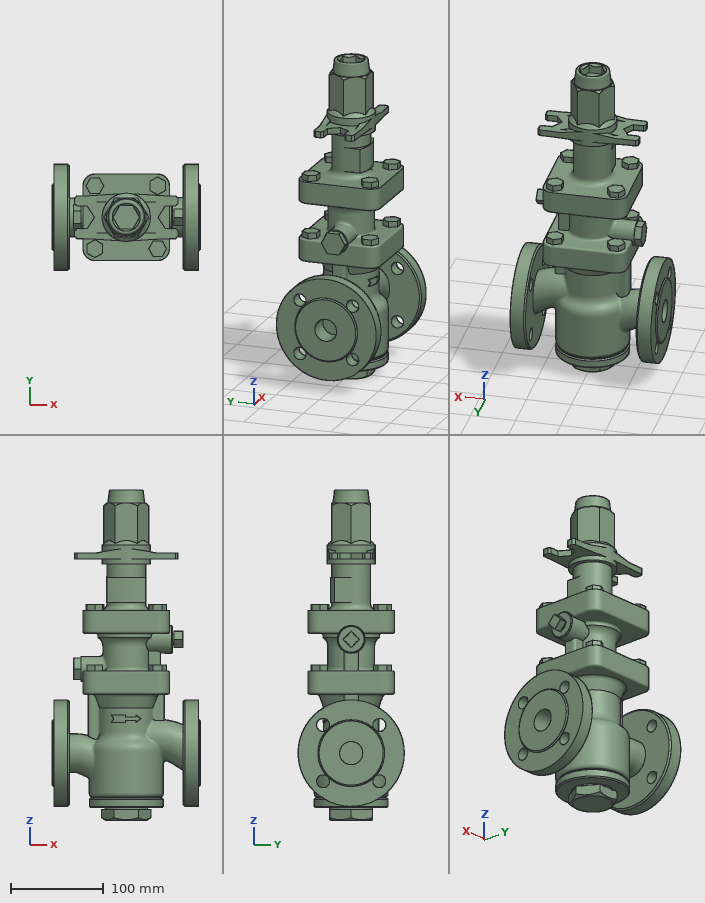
import cadquery as cq
import math


TOTAL_HEIGHT = 357.0
TOTAL_LENGTH = 160.0

PIPE_AXIS_Z = 73.0
FLANGE_DIAMETER = 115.0
FLANGE_THICKNESS = 16.8
FLANGE_CHAMFER = 1.8
RAISED_FACE_DIAMETER = 72.0
RAISED_FACE_HEIGHT = 1.8
RAISED_FACE_BEVEL = 1.5
BOLT_HOLE_DIAMETER = 14.0
BOLT_HOLE_SPACING = 60.7
BORE_DIAMETER = 25.0
BORE_DEPTH = 25.0

PLUG_HEX_FLATS = 46.5
PLUG_HEX_TOP = 12.0
PLUG_CHAMFER_HEIGHT = 3.2
PLUG_CHAMFER_DEPTH = 5.0
BODY_DIAMETER = 80.0
BODY_NECK_DIAMETER = 60.0
CAP_RIM_BOTTOM = 14.0
CAP_RIM_TOP = 24.3
CAP_RIM_CHAMFER = 1.5
SEAL_DIAMETER = 75.7
SEAL_TOP = 25.5
BODY_SHOULDER_Z = 75.5
BODY_NECK_Z = 94.5
BODY_FLARE_BOTTOM = 121.7
BODY_FLARE_RADIUS = 34.0
BODY_FLARE_TOP = 133.0
BODY_TOP_RADIUS = 37.0
RIB_ROOT_FILLET = 3.5

PLATE_WIDTH = 93.5
PLATE_CORNER_RADIUS = 13.0
PLATE_EDGE_FILLET = 2.0
LOWER_JOINT_BOTTOM = 136.5
LOWER_SEAM_Z = 149.0
LOWER_JOINT_TOP = 161.7
UPPER_JOINT_BOTTOM = 202.0
UPPER_SEAM_Z = 215.0
UPPER_JOINT_TOP = 227.0
BOLT_SPACING = 68.0
BOLT_HEAD_FLATS = 16.8
BOLT_HEAD_HEIGHT = 6.5

HOUSING_DIAMETER = 50.7
HOUSING_BASE_FILLET = 3.2
HOUSING_HEAD_RADIUS = 30.7
HOUSING_HEAD_Z = 197.8
HOUSING_SHOULDER_Z = 188.0
HOUSING_HEAD_COVE = 1.8

LEFT_BOSS_DIAMETER = 27.0
LEFT_BOSS_Z = 164.0
LEFT_BOSS_END = 49.0
LEFT_PLUG_END = 56.8
LEFT_PLUG_FLATS = 23.5
LEFT_BOSS_FILLET = 3.2
RIGHT_BOSS_DIAMETER = 30.0
RIGHT_BOSS_Z = 195.5
RIGHT_BOSS_END = 50.0
RIGHT_BOSS_CHAMFER = 1.0
RIGHT_PLUG_START = 51.5
RIGHT_PLUG_END = 61.0
RIGHT_PLUG_DIAGONAL = 18.0
RIGHT_PLUG_NECK_DIAMETER = 12.0
BOSS_WEB_REACH = 37.0

RIB_REACH = 41.0
RIB_WIDTH = 15.7
RIB_FILLET = 3.5
RIB_BOTTOM = 78.5

STEM_DIAMETER = 42.0
STEM_BASE_FILLET = 6.8
PAD_BOTTOM = 235.3
PAD_TOP = 262.5
PAD_SIDE_Y = 18.0
PAD_FRONT_Y = 22.5
COLLAR_DIAMETER = 52.0
COLLAR_BOTTOM = 277.0
COLLAR_TOP = 297.5
CAP_HEX_FLATS = 42.0
CAP_HEX_TOP = 342.7
CAP_HEX_CHAMFER = 3.0
CAP_TIP_BASE_RADIUS = 20.0
CAP_TIP_RADIUS = 18.2
CAP_TIP_ROUND = 1.5
SOCKET_FLATS = 25.0
SOCKET_RIM_DIAMETER = 30.0
SOCKET_DEPTH = 10.7

HANDLE_LENGTH = 111.5
HANDLE_BOTTOM = 282.5
HANDLE_TOP = 289.0
HANDLE_TIP_Y = 23.2
HANDLE_ROOT_Y = 25.5
HANDLE_STRAIGHT_X = 41.0
HANDLE_FORK_Y = 12.0
HANDLE_FORK_ROOT_X = 42.0
HANDLE_FORK_APEX_X = 34.3
HANDLE_TIP_CHAMFER = 2.5
GRIP_BAR_TOP = 293.5
GRIP_BAR_INNER_Y = 16.8
GRIP_BAR_START_X = 6.8
GRIP_BAR_END_X = 31.8

ARROW_Z = 110.0
ARROW_HEIGHT = 0.7
ARROW_HALF_WIDTH = 4.0
ARROW_SHAFT_HALF_WIDTH = 1.8
ARROW_TAIL_X = -16.0
ARROW_NOTCH_X = -13.5
ARROW_TAIL_END_X = -1.0
ARROW_HEAD_X = 10.5
ARROW_POINT_X = 15.7

LEFT_PIPE_DIAMETER = 42.0
LEFT_BEND_START_X = -55.5
LEFT_BEND_RADIUS = 32.0
LEFT_BEND_ANGLE = math.radians(25)
RIGHT_PIPE_DIAMETER = 43.0
RIGHT_PIPE_START_X = 10.7
RIGHT_PIPE_START_Z = 88.2
RIGHT_BEND_START_X = 32.0
RIGHT_BEND_RADIUS = 53.5
RIGHT_BEND_ANGLE = math.radians(32)
PIPE_TAIL = 21.5
PIPE_ROOT_FILLET = 3.5

FLANGE_FACE_X = TOTAL_LENGTH / 2 - RAISED_FACE_HEIGHT
FLANGE_BACK_X = FLANGE_FACE_X - FLANGE_THICKNESS
BODY_RADIUS = BODY_DIAMETER / 2
NECK_RADIUS = BODY_NECK_DIAMETER / 2
STEM_RADIUS = STEM_DIAMETER / 2


def disc(diameter, bottom, top):
    return cq.Workplane("XY").workplane(offset=bottom).circle(diameter / 2).extrude(top - bottom)


def corner_diameter(flats):
    return flats / math.cos(math.pi / 6)


def hex_prism(flats, bottom, top):
    """Upright hexagon with two corners on the X axis."""
    plane = cq.Workplane("XY").workplane(offset=bottom)
    return plane.polygon(6, corner_diameter(flats)).extrude(top - bottom)


def x_bar(section, start, end, axis_z):
    """Extrude a section along X; `section` draws on the given workplane (local x = Y)."""
    plane = cq.Workplane("YZ", origin=(start, 0, axis_z))
    return section(plane).extrude(end - start)


def x_rod(diameter, start, end, axis_z):
    return x_bar(lambda plane: plane.circle(diameter / 2), start, end, axis_z)


def spin(profile):
    """Revolve a closed (radius, z) profile about the stem axis."""
    return profile.close().revolve(360, (0, 0, 0), (0, 1, 0))


def flared_column(radius, bottom, top, fillet):
    """Cylinder whose foot flares out with a concave fillet."""
    inset = fillet * (1 - math.sqrt(0.5))
    middle = (radius + inset, bottom + inset)
    profile = (
        cq.Workplane("XZ")
        .moveTo(0, bottom)
        .lineTo(radius + fillet, bottom)
        .threePointArc(middle, (radius, bottom + fillet))
        .lineTo(radius, top)
        .lineTo(0, top)
    )
    return spin(profile)


def make_bottom_plug():
    envelope = disc(corner_diameter(PLUG_HEX_FLATS), 0, PLUG_HEX_TOP)
    envelope = envelope.faces("<Z").chamfer(PLUG_CHAMFER_HEIGHT, PLUG_CHAMFER_DEPTH)
    plug = hex_prism(PLUG_HEX_FLATS, 0, PLUG_HEX_TOP).intersect(envelope)
    neck = disc(PLUG_HEX_FLATS, PLUG_HEX_TOP, CAP_RIM_BOTTOM)
    rim = disc(BODY_DIAMETER, CAP_RIM_BOTTOM, CAP_RIM_TOP).faces("<Z or >Z").chamfer(CAP_RIM_CHAMFER)
    seal = disc(SEAL_DIAMETER, CAP_RIM_BOTTOM, SEAL_TOP)
    return plug.union(neck).union(rim).union(seal)


def make_body_shell():
    step = BODY_RADIUS - NECK_RADIUS
    rise = BODY_NECK_Z - BODY_SHOULDER_Z
    edge = (BODY_DIAMETER - SEAL_DIAMETER) / 2
    shoulder_middle = (BODY_RADIUS - step / 2, BODY_SHOULDER_Z + rise / 2)
    profile = (
        cq.Workplane("XZ")
        .moveTo(0, SEAL_TOP)
        .lineTo(SEAL_DIAMETER / 2, SEAL_TOP)
        .lineTo(BODY_RADIUS, SEAL_TOP + edge)
        .lineTo(BODY_RADIUS, BODY_SHOULDER_Z)
        .tangentArcPoint(shoulder_middle, relative=False)
        .tangentArcPoint((NECK_RADIUS, BODY_NECK_Z), relative=False)
        .lineTo(NECK_RADIUS, BODY_FLARE_BOTTOM)
        .lineTo(BODY_FLARE_RADIUS, BODY_FLARE_TOP)
        .tangentArcPoint((BODY_TOP_RADIUS, LOWER_JOINT_BOTTOM), relative=False)
        .lineTo(0, LOWER_JOINT_BOTTOM)
    )
    return spin(profile)


def make_ribs():
    """Passage ribs on both sides of the neck, with filleted roots along a core inside the body."""
    height = LOWER_JOINT_BOTTOM - RIB_BOTTOM
    ribs = (
        cq.Workplane("XY")
        .workplane(offset=RIB_BOTTOM)
        .rect(2 * RIB_REACH, RIB_WIDTH)
        .extrude(height)
        .edges("|Z")
        .fillet(RIB_FILLET)
    )
    ribs = ribs.union(disc(BODY_NECK_DIAMETER, RIB_BOTTOM, LOWER_JOINT_BOTTOM))
    roots = cq.selectors.BoxSelector(
        (-NECK_RADIUS, -RIB_WIDTH, RIB_BOTTOM), (NECK_RADIUS, RIB_WIDTH, LOWER_JOINT_BOTTOM)
    )
    return ribs.edges("|Z").edges(roots).fillet(RIB_ROOT_FILLET)


def bent_pipe(diameter, start_x, start_z, bend_x, bend_radius, bend_angle):
    """Round bar that runs level toward +X, then bends down and goes on straight for a short tail."""
    def on_bend(angle):
        return (bend_x + bend_radius * math.sin(angle), start_z - bend_radius * (1 - math.cos(angle)))

    end_x, end_z = on_bend(bend_angle)
    path = (
        cq.Workplane("XZ")
        .moveTo(start_x, start_z)
        .lineTo(bend_x, start_z)
        .threePointArc(on_bend(bend_angle / 2), (end_x, end_z))
        .lineTo(end_x + PIPE_TAIL * math.cos(bend_angle), end_z - PIPE_TAIL * math.sin(bend_angle))
    )
    return cq.Workplane("YZ", origin=(start_x, 0, start_z)).circle(diameter / 2).sweep(path)


def make_left_pipe():
    """Inlet neck: leaves the flange level, then bends down into the body."""
    return bent_pipe(
        LEFT_PIPE_DIAMETER, -FLANGE_BACK_X, PIPE_AXIS_Z, LEFT_BEND_START_X, LEFT_BEND_RADIUS, LEFT_BEND_ANGLE
    )


def make_right_pipe():
    """Outlet neck: leaves the body level and high, then bends down to the back of the flange."""
    pipe = bent_pipe(
        RIGHT_PIPE_DIAMETER, RIGHT_PIPE_START_X, RIGHT_PIPE_START_Z,
        RIGHT_BEND_START_X, RIGHT_BEND_RADIUS, RIGHT_BEND_ANGLE,
    )
    return pipe.intersect(x_rod(FLANGE_DIAMETER, 0, FLANGE_BACK_X, PIPE_AXIS_Z))


def make_body():
    """Body shell with both pipe necks, filleted where the necks meet the shell."""
    body = make_body_shell().union(make_left_pipe()).union(make_right_pipe())
    reach_x = BODY_RADIUS + PIPE_ROOT_FILLET
    reach_y = LEFT_PIPE_DIAMETER / 2 + PIPE_ROOT_FILLET
    roots = cq.selectors.BoxSelector((-reach_x, -reach_y, SEAL_TOP), (reach_x, reach_y, BODY_FLARE_BOTTOM))
    return body.edges(roots).fillet(PIPE_ROOT_FILLET)


def make_flange(side):
    back = cq.Workplane("YZ", origin=(side * FLANGE_BACK_X, 0, PIPE_AXIS_Z))
    inner = "<X" if side > 0 else ">X"
    flange = back.circle(FLANGE_DIAMETER / 2).extrude(side * FLANGE_THICKNESS)
    flange = flange.faces(inner).chamfer(FLANGE_CHAMFER)
    holes = back.rect(BOLT_HOLE_SPACING, BOLT_HOLE_SPACING, forConstruction=True).vertices()
    flange = flange.cut(holes.circle(BOLT_HOLE_DIAMETER / 2).extrude(side * FLANGE_THICKNESS))
    face = x_rod(RAISED_FACE_DIAMETER, side * FLANGE_FACE_X, side * TOTAL_LENGTH / 2, PIPE_AXIS_Z)
    face = face.faces(">X" if side > 0 else "<X").chamfer(RAISED_FACE_BEVEL)
    return flange.union(face)


def make_bore(side):
    end = side * TOTAL_LENGTH / 2
    return x_rod(BORE_DIAMETER, end - side * BORE_DEPTH, end, PIPE_AXIS_Z)


def make_plate(bottom, top):
    plane = cq.Workplane("XY").workplane(offset=bottom)
    return plane.rect(PLATE_WIDTH, PLATE_WIDTH).extrude(top - bottom).edges("|Z").fillet(PLATE_CORNER_RADIUS)


def make_joint(bottom, seam, top, round_top):
    """Pair of square plates held by four hexagon bolts; the seam between the plates stays."""
    lower = make_plate(bottom, seam).faces("<Z").edges().fillet(PLATE_EDGE_FILLET)
    upper = make_plate(seam, top)
    if round_top:
        upper = upper.faces(">Z").edges().fillet(PLATE_EDGE_FILLET)
    joint = lower.union(upper, clean=False)
    for x_side in (-1, 1):
        for y_side in (-1, 1):
            turn = 30 if x_side == y_side else 0
            head = hex_prism(BOLT_HEAD_FLATS, top, top + BOLT_HEAD_HEIGHT)
            head = head.rotate((0, 0, 0), (0, 0, 1), turn)
            head = head.translate((x_side * BOLT_SPACING / 2, y_side * BOLT_SPACING / 2, 0))
            joint = joint.union(head, clean=False)
    return joint


def make_housing():
    radius = HOUSING_DIAMETER / 2
    column = flared_column(radius, LOWER_JOINT_TOP, UPPER_JOINT_BOTTOM, HOUSING_BASE_FILLET)
    cove_bottom = UPPER_JOINT_BOTTOM - HOUSING_HEAD_COVE
    cove_edge = HOUSING_HEAD_RADIUS + HOUSING_HEAD_COVE
    head = spin(
        cq.Workplane("XZ")
        .moveTo(0, LOWER_JOINT_TOP)
        .lineTo(radius, LOWER_JOINT_TOP)
        .lineTo(radius, HOUSING_SHOULDER_Z)
        .tangentArcPoint((HOUSING_HEAD_RADIUS, HOUSING_HEAD_Z), relative=False)
        .lineTo(HOUSING_HEAD_RADIUS, cove_bottom)
        .tangentArcPoint((cove_edge, UPPER_JOINT_BOTTOM), relative=False)
        .lineTo(0, UPPER_JOINT_BOTTOM)
    )
    return column.union(head)


def make_left_boss():
    """Boss with a filleted root on the housing wall, closed by a hexagon plug."""
    wall = disc(HOUSING_DIAMETER, LOWER_JOINT_BOTTOM, HOUSING_SHOULDER_Z)
    boss = wall.union(x_rod(LEFT_BOSS_DIAMETER, -LEFT_BOSS_END, 0, LEFT_BOSS_Z))
    low = LOWER_JOINT_BOTTOM + LEFT_BOSS_FILLET
    high = HOUSING_SHOULDER_Z - LEFT_BOSS_FILLET
    root = cq.selectors.BoxSelector(
        (-HOUSING_DIAMETER / 2 - LEFT_BOSS_FILLET, -LEFT_BOSS_DIAMETER, low), (0, LEFT_BOSS_DIAMETER, high)
    )
    boss = boss.edges(root).edges("not #Z").fillet(LEFT_BOSS_FILLET)
    plug = x_bar(
        lambda plane: plane.polygon(6, corner_diameter(LEFT_PLUG_FLATS)),
        -LEFT_PLUG_END, -LEFT_BOSS_END, LEFT_BOSS_Z,
    )
    return boss.union(plug)


def make_right_boss():
    boss = x_rod(RIGHT_BOSS_DIAMETER, 0, RIGHT_BOSS_END, RIGHT_BOSS_Z)
    boss = boss.faces(">X").chamfer(RIGHT_BOSS_CHAMFER)
    neck = x_rod(RIGHT_PLUG_NECK_DIAMETER, 0, RIGHT_PLUG_END, RIGHT_BOSS_Z)
    plug = x_bar(
        lambda plane: plane.polygon(4, RIGHT_PLUG_DIAGONAL), RIGHT_PLUG_START, RIGHT_PLUG_END, RIGHT_BOSS_Z
    )
    web = (
        cq.Workplane("XY")
        .workplane(offset=LOWER_JOINT_TOP)
        .center(BOSS_WEB_REACH / 2, 0)
        .rect(BOSS_WEB_REACH, RIB_WIDTH)
        .extrude(RIGHT_BOSS_Z - LOWER_JOINT_TOP)
        .faces(">X")
        .edges("|Z")
        .fillet(RIB_FILLET)
    )
    return boss.union(neck).union(plug).union(web)


def make_stem():
    stem = flared_column(STEM_RADIUS, UPPER_JOINT_TOP, COLLAR_BOTTOM, STEM_BASE_FILLET)
    pad = (
        cq.Workplane("XY")
        .workplane(offset=PAD_BOTTOM)
        .moveTo(-STEM_RADIUS, 0)
        .lineTo(-STEM_RADIUS, -PAD_SIDE_Y)
        .threePointArc((0, -PAD_FRONT_Y), (STEM_RADIUS, -PAD_SIDE_Y))
        .lineTo(STEM_RADIUS, 0)
        .close()
        .extrude(PAD_TOP - PAD_BOTTOM)
    )
    return stem.union(pad)


def make_cap():
    collar_radius = COLLAR_DIAMETER / 2
    shoulder_top = COLLAR_TOP + collar_radius - STEM_RADIUS
    collar = spin(
        cq.Workplane("XZ")
        .moveTo(0, COLLAR_BOTTOM)
        .lineTo(collar_radius, COLLAR_BOTTOM)
        .lineTo(collar_radius, COLLAR_TOP)
        .lineTo(STEM_RADIUS, shoulder_top)
        .lineTo(0, shoulder_top)
    )
    envelope = disc(corner_diameter(CAP_HEX_FLATS), COLLAR_TOP, CAP_HEX_TOP)
    envelope = envelope.faces(">Z").chamfer(CAP_HEX_CHAMFER)
    hexagon = hex_prism(CAP_HEX_FLATS, COLLAR_TOP, CAP_HEX_TOP).intersect(envelope)
    tip = spin(
        cq.Workplane("XZ")
        .moveTo(0, CAP_HEX_TOP)
        .lineTo(CAP_TIP_BASE_RADIUS, CAP_HEX_TOP)
        .lineTo(CAP_TIP_RADIUS, TOTAL_HEIGHT)
        .lineTo(0, TOTAL_HEIGHT)
    )
    tip = tip.faces(">Z").edges().fillet(CAP_TIP_ROUND)
    socket = hex_prism(SOCKET_FLATS, TOTAL_HEIGHT - SOCKET_DEPTH, TOTAL_HEIGHT)
    rim_radius = SOCKET_RIM_DIAMETER / 2
    lead_in = spin(
        cq.Workplane("XZ")
        .moveTo(0, TOTAL_HEIGHT)
        .lineTo(rim_radius, TOTAL_HEIGHT)
        .lineTo(0, TOTAL_HEIGHT - rim_radius)
    ).intersect(disc(COLLAR_DIAMETER, TOTAL_HEIGHT - (rim_radius - SOCKET_FLATS / 2), TOTAL_HEIGHT))
    return collar.union(hexagon).union(tip).cut(socket).cut(lead_in)


def make_handle():
    """Forked cross handle with a raised sloping bar along both long edges."""
    tip_x = HANDLE_LENGTH / 2
    quarter = [
        (GRIP_BAR_START_X, HANDLE_ROOT_Y),
        (HANDLE_STRAIGHT_X, HANDLE_TIP_Y),
        (tip_x - HANDLE_TIP_CHAMFER, HANDLE_TIP_Y),
        (tip_x, HANDLE_TIP_Y - HANDLE_TIP_CHAMFER),
        (tip_x, HANDLE_FORK_Y + HANDLE_TIP_CHAMFER),
        (tip_x - HANDLE_TIP_CHAMFER, HANDLE_FORK_Y),
        (HANDLE_FORK_ROOT_X, HANDLE_FORK_Y),
    ]
    half = quarter + [(HANDLE_FORK_APEX_X, 0)] + [(x, -y) for x, y in reversed(quarter)]
    outline = half + [(-x, -y) for x, y in half]

    def outline_plate(top):
        plane = cq.Workplane("XY").workplane(offset=HANDLE_BOTTOM)
        return plane.polyline(outline).close().extrude(top - HANDLE_BOTTOM)

    wedge = (
        cq.Workplane("XZ")
        .moveTo(-GRIP_BAR_END_X, HANDLE_BOTTOM)
        .lineTo(-GRIP_BAR_END_X, HANDLE_TOP)
        .lineTo(-GRIP_BAR_START_X, GRIP_BAR_TOP)
        .lineTo(GRIP_BAR_START_X, GRIP_BAR_TOP)
        .lineTo(GRIP_BAR_END_X, HANDLE_TOP)
        .lineTo(GRIP_BAR_END_X, HANDLE_BOTTOM)
        .close()
        .extrude(HANDLE_ROOT_Y, both=True)
    )
    gap = cq.Workplane("XY").box(HANDLE_LENGTH, 2 * GRIP_BAR_INNER_Y, 2 * TOTAL_HEIGHT)
    bars = outline_plate(GRIP_BAR_TOP).intersect(wedge).cut(gap)
    return outline_plate(HANDLE_TOP).union(bars)


def make_arrow():
    """Flow arrow raised on the front of the body neck, pointing to the outlet."""
    upper_side = [
        (ARROW_TAIL_X, ARROW_HALF_WIDTH),
        (ARROW_TAIL_END_X, ARROW_HALF_WIDTH),
        (ARROW_TAIL_END_X, ARROW_SHAFT_HALF_WIDTH),
        (ARROW_HEAD_X, ARROW_SHAFT_HALF_WIDTH),
        (ARROW_HEAD_X, ARROW_HALF_WIDTH),
    ]
    lower_side = [(x, -z) for x, z in reversed(upper_side)]
    outline = [(ARROW_NOTCH_X, 0)] + upper_side + [(ARROW_POINT_X, 0)] + lower_side
    block = cq.Workplane("XZ", origin=(0, 0, ARROW_Z)).polyline(outline).close().extrude(BODY_RADIUS)
    return block.intersect(disc(BODY_NECK_DIAMETER + 2 * ARROW_HEIGHT, BODY_NECK_Z, BODY_FLARE_BOTTOM))


result = make_body().union(make_arrow())
parts = [
    make_ribs(),
    make_bottom_plug(),
    make_flange(-1),
    make_flange(1),
    make_joint(LOWER_JOINT_BOTTOM, LOWER_SEAM_Z, LOWER_JOINT_TOP, round_top=True),
    make_housing(),
    make_left_boss(),
    make_right_boss(),
    make_joint(UPPER_JOINT_BOTTOM, UPPER_SEAM_Z, UPPER_JOINT_TOP, round_top=False),
    make_stem(),
    make_cap(),
    make_handle(),
]
for part in parts:
    result = result.union(part, clean=False)
for side in (-1, 1):
    result = result.cut(make_bore(side), clean=False)